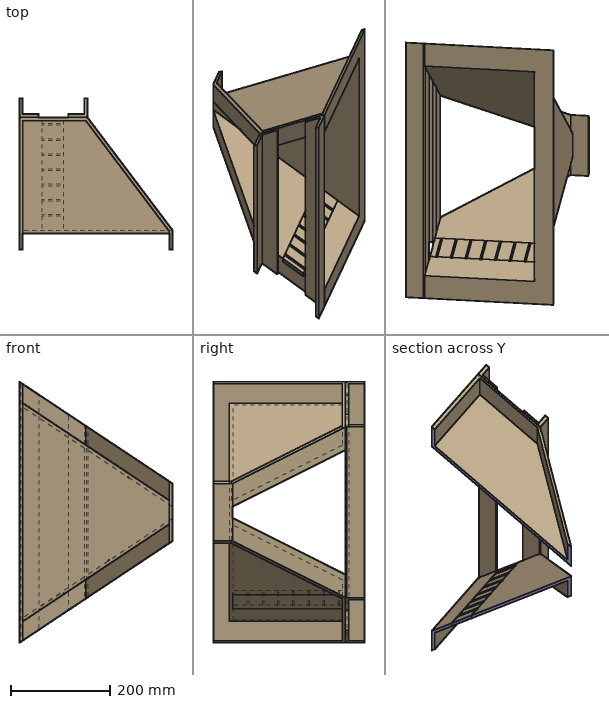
import cadquery as cq
import math

length = 308.5
depth = 305.0
height = 526.0
end_half_height = 58.0

sheet = 7.0
flange = 32.0
back_length = 137.5

angle_leg = 39.0
angle_chamfer = 2.5

insert_start = 45.0
insert_length = 43.0
groove_count = 7
groove_pitch = 30.5
groove_width = 3.0
groove_depth = 1.0

back_y = depth - angle_leg
inner_front_y = flange + sheet
slope = (height / 2 - end_half_height) / length
slope_factor = math.hypot(1, slope)
outer_wall_drop = flange * slope_factor
inner_wall_drop = (flange + sheet) * slope_factor


def tapered_prism(drop):
    """Full-depth prism whose sloped sides lie a vertical distance inside the outline."""
    wide = height / 2 - drop
    narrow = end_half_height - drop
    outline = [(0, -wide), (length, -narrow), (length, narrow), (0, wide)]
    return cq.Workplane("XZ").polyline(outline).close().extrude(-depth)


def upright(points):
    """Full-height prism on a plan outline."""
    plan = cq.Workplane("XY").workplane(offset=-height / 2)
    return plan.polyline(points).close().extrude(height)


def box(x, y, size_x, size_y):
    """Full-height box from its plan corner and plan size."""
    return upright([(x, y), (x + size_x, y), (x + size_x, y + size_y), (x, y + size_y)])


def make_duct():
    """Duct with sloped roof and floor, a front wall and flanges around its three openings."""
    run = length - back_length
    rise = back_y - inner_front_y
    slant = math.hypot(run, rise)
    back_miter = sheet * (slant - run) / rise
    end_miter = sheet * (slant - rise) / run
    outline = [(0, 0), (length, 0), (length, inner_front_y), (back_length, back_y), (0, back_y)]
    hollow = [
        (sheet, 0),
        (length - sheet, 0),
        (length - sheet, inner_front_y - end_miter),
        (back_length - back_miter, back_y - sheet),
        (sheet, back_y - sheet),
    ]
    plates = upright(outline).cut(upright(hollow)).intersect(tapered_prism(0))
    behind_front_face = box(0, flange, length, depth)
    core = upright(outline).intersect(behind_front_face).intersect(tapered_prism(outer_wall_drop))
    passage = box(0, inner_front_y, length, depth).intersect(tapered_prism(inner_wall_drop))
    return plates.union(core).cut(passage)


def make_insert():
    """Plate as thick as the floor and flush in it: the plain blank and the grooved plate."""
    floor = tapered_prism(outer_wall_drop).cut(tapered_prism(inner_wall_drop))
    lower_half = cq.Workplane("XY").box(length, depth, height / 2, centered=False)
    lower_half = lower_half.translate((0, 0, -height / 2))
    strip = box(insert_start, inner_front_y, insert_length, back_y - inner_front_y)
    blank = floor.intersect(lower_half).intersect(strip)
    groove_floor_drop = inner_wall_drop - groove_depth * slope_factor
    groove_layer = tapered_prism(groove_floor_drop).cut(tapered_prism(inner_wall_drop))
    grooved = blank
    for number in range(1, groove_count + 1):
        groove_y = inner_front_y + number * groove_pitch - groove_width / 2
        groove = box(insert_start, groove_y, insert_length, groove_width)
        grooved = grooved.cut(groove_layer.intersect(groove))
    return blank, grooved


def make_angle(corner_x, inward):
    """Upright angle behind the duct; inward is the X direction of its flat leg."""
    profile = [
        (angle_chamfer, 0),
        (angle_leg, 0),
        (angle_leg, sheet),
        (sheet, sheet),
        (sheet, angle_leg),
        (0, angle_leg),
        (0, angle_chamfer),
    ]
    placed = [(corner_x + inward * x, back_y + y) for x, y in profile]
    return upright(placed).intersect(tapered_prism(0))


insert_blank, insert = make_insert()
duct = make_duct().cut(insert_blank)
angles = [make_angle(corner_x, inward) for corner_x, inward in [(0, 1), (back_length, -1)]]

result = cq.Compound.makeCompound([duct.val(), insert.val(), *[angle.val() for angle in angles]])